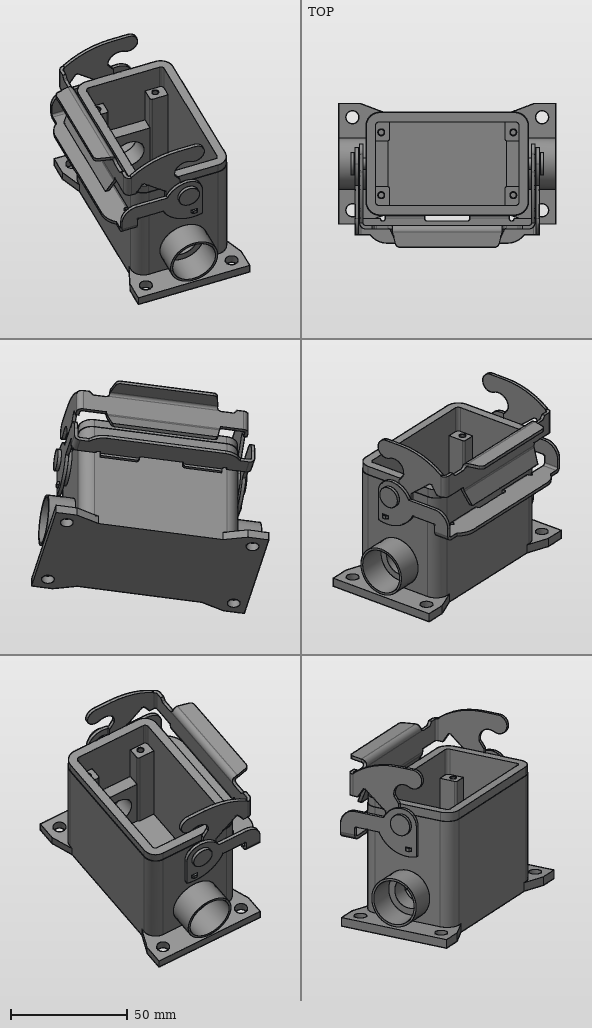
import cadquery as cq
import math


plate_length = 93.5
plate_width = 52.0
plate_thickness = 4.0
tab_end_x = 37.5
taper_end_x = 27.4
mount_hole_dia = 5.5
mount_pitch_x = 81.6
mount_pitch_y = 40.0

body_length = 70.0
body_width = 44.4
body_height = 57.0
body_corner = 6.0
rim_height = 4.0
rim_setback = 0.2
cavity_length = 61.6
cavity_width = 36.0
cavity_corner = 1.5
wall_middle_x = (body_length + cavity_length) / 4
post_size_x = 6.0
post_size_y = 8.2
post_top_z = 45.3
post_corner = 1.0
screw_pitch_x = 56.8
screw_pitch_y = 27.0
screw_hole_dia = 2.5
screw_hole_depth = 20.0
screw_chamfer = 0.25
ledge_size_x = 5.4
ledge_top_z = 28.0

entry_z = 16.0
entry_outer_dia = 22.0
entry_bore_dia = 20.0
entry_hole_dia = 14.0
entry_bore_depth = 13.0

sheet = 1.5
bend_outer = 2.5
bend_inner = bend_outer - sheet
pivot_z = 50.0
pin_dia = 5.0
pin_head_dia = 9.5
pin_head_face_x = 41.5
lever_half_width = 37.7
bracket_half_width = 39.6

lever_top_z = 75.0
nose_radius = 4.3
nose_y = 4.3
hook_z = 62.0
hook_tip_y = -5.2
hook_tip_z = 61.3
neck_y = -2.8
neck_z = 58.0
brow_start_y = -3.5
brow_end_z = 67.7
heel_y = -9.3
heel_top_z = 53.3
heel_center_z = 48.0
hub_radius = 4.0
gap_left_y = -19.3
gap_right_y = -20.4
gap_top_z = 61.5
gap_foot_y = -23.2
front_outer_y = -28.0
front_bottom_z = 57.25
front_top_z = 67.35
dip_depth = 1.75
dip_half_width = 31.0
dip_chamfer_run = 1.4
dip_corner = 1.0
grip_top_z = 68.7
grip_tip_y = -35.98
grip_root_half = 23.6
grip_tip_half = 21.9
grip_corner = 2.0
grip_bend_outer = 2.8
grip_bend_inner = grip_bend_outer - sheet
grip_flare = 1.9
flap_top_half = 25.1
flap_tip_half = 23.0
flap_bend_z = 55.2
flap_bottom_z = 47.9
flap_angle = 26.0
flap_corner = 1.5
flap_bend_radius = 1.8

disc_radius = 7.0
shoulder_y = -9.4
arm_top_z = 51.1
arm_width = 7.1
arm_inner_y = -23.5
arm_corner = 0.5
lobe_edge_z = 36.1
lobe_bottom_y = 2.4
lobe_bottom_z = 35.4
lobe_end_y = -11.5
flange_bottom_z = 37.7
flange_tip_y = -34.2
flange_step_x = 33.2
flange_round = 9.0
lip_outer_x = 26.7
lip_inner_x = 9.6
lip_face_y = -22.3
lip_bottom_z = 36.5
lip_chamfer = 0.8
slot_bottom_y = -24.6
slot_corner = 0.8
notch_width = 2.0
stud_y = 3.15
stud_z = 38.95
stud_base = 3.1
stud_tip = 1.7
stud_height = 0.9
stud_width = 1.5


def both_ends(shape):
    """Return the shape joined with its mirror image across the YZ plane."""
    return shape.union(shape.mirror("YZ"))


def box(x0, x1, y0, y1, z0, z1):
    """Return a box spanning the given limits."""
    return cq.Workplane("XY").box(x1 - x0, y1 - y0, z1 - z0, centered=False).translate((x0, y0, z0))


def cylinder_x(diameter, x0, x1, z):
    """Return a cylinder along X, centred on y = 0."""
    return cq.Workplane("YZ", origin=(x0, 0, z)).circle(diameter / 2).extrude(x1 - x0)


def rounded_block(length, width, z0, z1, corner):
    """Return an upright block with rounded vertical edges."""
    block = cq.Workplane("XY", origin=(0, 0, z0)).rect(length, width).extrude(z1 - z0)
    return block.edges("|Z").fillet(corner)


def tangent_arc_radius(run, rise):
    """Radius of an arc covering run and rise that starts parallel to the run."""
    return (run ** 2 + rise ** 2) / (2 * rise)


def bent_strap(plane, half_width, length):
    """A strap along the plane's first axis, with both ends bent through a right angle.

    The outer face lies on the plane's first axis and the strap is extruded by length.
    """
    flat = half_width - bend_outer
    inner_half = half_width - sheet
    outline = (
        cq.Workplane(plane)
        .moveTo(-half_width, bend_outer)
        .radiusArc((-flat, 0), -bend_outer)
        .lineTo(flat, 0)
        .radiusArc((half_width, bend_outer), -bend_outer)
        .lineTo(inner_half, bend_outer)
        .radiusArc((flat, sheet), bend_inner)
        .lineTo(-flat, sheet)
        .radiusArc((-inner_half, bend_outer), bend_inner)
        .close()
    )
    return outline.extrude(length)


def make_base_plate():
    half_x = plate_length / 2
    half_y = plate_width / 2
    ear = [
        (taper_end_x, -body_width / 2),
        (tab_end_x, -half_y),
        (half_x, -half_y),
        (half_x, half_y),
        (tab_end_x, half_y),
        (taper_end_x, body_width / 2),
    ]
    outline = ear + [(-x, -y) for x, y in ear]
    plate = cq.Workplane("XY").polyline(outline).close().extrude(plate_thickness)
    holes = cq.Workplane("XY").rarray(mount_pitch_x, mount_pitch_y, 2, 2).circle(mount_hole_dia / 2)
    return plate.cut(holes.extrude(plate_thickness))


def make_body():
    shoulder_z = body_height - rim_height
    lower = rounded_block(body_length, body_width, 0, shoulder_z, body_corner)
    rim_length = body_length - 2 * rim_setback
    rim_width = body_width - 2 * rim_setback
    rim = rounded_block(rim_length, rim_width, shoulder_z, body_height, body_corner - rim_setback)
    return lower.union(rim)


def make_cavity():
    """The inside space, leaving the ledges and the four screw posts standing."""
    cavity = rounded_block(cavity_length, cavity_width, plate_thickness, body_height, cavity_corner)
    half_x = cavity_length / 2
    half_y = cavity_width / 2
    ledge = box(half_x - ledge_size_x, half_x, -half_y, half_y, plate_thickness, ledge_top_z)
    cavity = cavity.cut(both_ends(ledge))
    post_y = half_y - post_size_y
    post = box(half_x - post_size_x, half_x, post_y, half_y, plate_thickness, post_top_z)
    post = post.edges("|Z and <X and <Y").fillet(post_corner)
    post_pair = post.union(post.mirror("XZ"))
    return cavity.cut(both_ends(post_pair))


def make_screw_holes():
    top = cq.Workplane("XY", origin=(0, 0, post_top_z)).rarray(screw_pitch_x, screw_pitch_y, 2, 2)
    holes = top.circle(screw_hole_dia / 2).extrude(-screw_hole_depth)
    countersink = top.circle(screw_hole_dia / 2 + screw_chamfer).extrude(-screw_chamfer, taper=45)
    return holes.union(countersink)


def make_housing():
    half_x = plate_length / 2
    tube = cylinder_x(entry_outer_dia, wall_middle_x, half_x, entry_z)
    bore = cylinder_x(entry_bore_dia, half_x - entry_bore_depth, half_x, entry_z)
    hole = cylinder_x(entry_hole_dia, 0, half_x, entry_z)
    housing = make_base_plate().union(make_body()).cut(make_cavity())
    housing = housing.union(both_ends(tube)).cut(both_ends(bore)).cut(both_ends(hole))
    return housing.cut(make_screw_holes())


def make_pin():
    shaft = cylinder_x(pin_dia, wall_middle_x, pin_head_face_x, pivot_z)
    head = cylinder_x(pin_head_dia, pin_head_face_x - sheet, pin_head_face_x, pivot_z)
    return both_ends(shaft.union(head))


def make_lever_side():
    """One flat lever cheek, with the hooked nose and the rounded heel."""
    nose_z = lever_top_z - nose_radius
    reach = math.hypot(nose_y, nose_z - hook_z)
    hook_radius = reach - nose_radius
    toward_hook = (-nose_y / reach, (hook_z - nose_z) / reach)
    touch = (nose_y + nose_radius * toward_hook[0], nose_z + nose_radius * toward_hook[1])
    diagonal = hook_radius * math.cos(math.radians(45))
    brow_end_y = front_outer_y + bend_outer
    brow_run = brow_start_y - brow_end_y
    brow_radius = tangent_arc_radius(brow_run, lever_top_z - brow_end_z)
    brow_mid_run = brow_run / 2
    brow_mid_z = lever_top_z - brow_radius + math.sqrt(brow_radius ** 2 - brow_mid_run ** 2)
    heel_radius = -heel_y
    heel_left_z = heel_center_z - math.sqrt(heel_radius ** 2 - hub_radius ** 2)
    profile = (
        cq.Workplane("YZ")
        .moveTo(nose_y, lever_top_z)
        .threePointArc((nose_y + nose_radius, nose_z), touch)
        .threePointArc((-diagonal, hook_z + diagonal), (hook_tip_y, hook_tip_z))
        .lineTo(neck_y, neck_z)
        .lineTo(neck_y, pivot_z + math.sqrt(hub_radius ** 2 - neck_y ** 2))
        .radiusArc((hub_radius, pivot_z), hub_radius)
        .lineTo(hub_radius, heel_left_z)
        .threePointArc((0, heel_center_z - heel_radius), (heel_y, heel_center_z))
        .lineTo(heel_y, heel_top_z)
        .lineTo(gap_left_y, gap_top_z)
        .lineTo(gap_right_y, gap_top_z)
        .lineTo(gap_foot_y, front_bottom_z)
        .lineTo(brow_end_y, front_bottom_z)
        .lineTo(brow_end_y, brow_end_z)
        .threePointArc((brow_start_y - brow_mid_run, brow_mid_z), (brow_start_y, lever_top_z))
        .close()
    )
    return profile.extrude(sheet).translate((lever_half_width - sheet, 0, 0))


def make_lever_front():
    """The front strap of the lever with its two rounded bends and its stepped top edge."""
    strap = bent_strap("XY", lever_half_width, front_top_z - front_bottom_z)
    strap = strap.translate((0, front_outer_y, front_bottom_z))
    dip_z = front_top_z - dip_depth
    dip = [
        (-dip_half_width - dip_chamfer_run, front_top_z),
        (-dip_half_width, dip_z),
        (dip_half_width, dip_z),
        (dip_half_width + dip_chamfer_run, front_top_z),
    ]
    dip_block = cq.Workplane("XZ").polyline(dip).close().extrude(plate_width)
    return strap.cut(dip_block.edges("|Y and <Z").fillet(dip_corner))


def make_grip():
    """The top flange bent outwards from the lever front, narrowing towards its tip."""
    dip_z = front_top_z - dip_depth
    inner_y = front_outer_y + sheet
    under_z = grip_top_z - sheet
    section = (
        cq.Workplane("YZ")
        .moveTo(inner_y, dip_z)
        .lineTo(inner_y, grip_top_z - grip_bend_outer)
        .radiusArc((inner_y - grip_bend_outer, grip_top_z), -grip_bend_outer)
        .lineTo(grip_tip_y, grip_top_z)
        .lineTo(grip_tip_y, under_z)
        .lineTo(front_outer_y - grip_bend_inner, under_z)
        .radiusArc((front_outer_y, under_z - grip_bend_inner), grip_bend_inner)
        .lineTo(front_outer_y, dip_z)
        .close()
        .extrude(lever_half_width, both=True)
    )
    plan = (
        cq.Workplane("XY")
        .moveTo(-grip_root_half - grip_flare, inner_y)
        .lineTo(-grip_root_half - grip_flare, front_outer_y)
        .lineTo(-grip_root_half, front_outer_y - grip_bend_inner)
        .lineTo(-grip_tip_half, grip_tip_y)
        .lineTo(grip_tip_half, grip_tip_y)
        .lineTo(grip_root_half, front_outer_y - grip_bend_inner)
        .lineTo(grip_root_half + grip_flare, front_outer_y)
        .lineTo(grip_root_half + grip_flare, inner_y)
        .close()
        .extrude(lever_top_z)
    )
    plan = plan.edges("|Z and <Y").fillet(grip_corner)
    elevation = (
        cq.Workplane("XZ")
        .moveTo(-grip_root_half - grip_flare, dip_z)
        .radiusArc((-grip_root_half, dip_z + grip_flare), -grip_flare)
        .lineTo(-grip_root_half, grip_top_z)
        .lineTo(grip_root_half, grip_top_z)
        .lineTo(grip_root_half, dip_z + grip_flare)
        .radiusArc((grip_root_half + grip_flare, dip_z), -grip_flare)
        .close()
        .extrude(plate_width)
    )
    return section.intersect(plan).intersect(elevation)


def make_flap():
    """The lower flap slanting outwards from the lever front, with rounded lower corners."""
    angle = math.radians(flap_angle)
    inner_y = front_outer_y + sheet
    drop = flap_bend_z - flap_bottom_z
    tip_y = inner_y - drop * math.tan(angle)
    slant = (-math.sin(angle), -math.cos(angle))
    back_radius = flap_bend_radius + sheet
    back_reach = back_radius * math.tan(angle / 2)
    front_reach = flap_bend_radius * math.tan(angle / 2)
    front_bend_z = flap_bend_z + sheet * math.tan(angle / 2)
    slab = (
        cq.Workplane("YZ")
        .moveTo(inner_y, front_bottom_z)
        .lineTo(inner_y, flap_bend_z + back_reach)
        .radiusArc((inner_y + back_reach * slant[0], flap_bend_z + back_reach * slant[1]), back_radius)
        .lineTo(tip_y, flap_bottom_z)
        .lineTo(tip_y - sheet * math.cos(angle), flap_bottom_z + sheet * math.sin(angle))
        .lineTo(front_outer_y + front_reach * slant[0], front_bend_z + front_reach * slant[1])
        .radiusArc((front_outer_y, front_bend_z + front_reach), -flap_bend_radius)
        .lineTo(front_outer_y, front_bottom_z)
        .close()
        .extrude(lever_half_width, both=True)
    )
    outline = [
        (-flap_top_half, front_bottom_z),
        (-flap_tip_half, flap_bottom_z),
        (flap_tip_half, flap_bottom_z),
        (flap_top_half, front_bottom_z),
    ]
    elevation = cq.Workplane("XZ").polyline(outline).close().extrude(plate_width)
    elevation = elevation.edges("|Y and <Z").fillet(flap_corner)
    return slab.intersect(elevation)


def make_lever():
    return both_ends(make_lever_side()).union(make_lever_front()).union(make_grip()).union(make_flap())


def make_bracket_side():
    """One flat bracket cheek: pivot disc, lower lobe and the arm that turns down to the flange."""
    arm_outer_y = arm_inner_y - arm_width
    arm_bottom_z = arm_top_z - arm_width
    bend_top_z = flange_bottom_z + bend_outer
    diagonal = math.cos(math.radians(45))
    disc_top_z = pivot_z + disc_radius
    shoulder_radius = tangent_arc_radius(-shoulder_y, disc_top_z - arm_top_z)
    shoulder_mid_y = shoulder_y / 2
    shoulder_mid_z = disc_top_z - shoulder_radius + math.sqrt(shoulder_radius ** 2 - shoulder_mid_y ** 2)
    profile = (
        cq.Workplane("YZ")
        .moveTo(disc_radius, pivot_z)
        .threePointArc((disc_radius * diagonal, pivot_z + disc_radius * diagonal), (0, disc_top_z))
        .threePointArc((shoulder_mid_y, shoulder_mid_z), (shoulder_y, arm_top_z))
        .lineTo(arm_inner_y, arm_top_z)
        .threePointArc(
            (arm_inner_y - arm_width * diagonal, arm_bottom_z + arm_width * diagonal),
            (arm_outer_y, arm_bottom_z),
        )
        .lineTo(arm_outer_y, bend_top_z)
        .lineTo(arm_inner_y, bend_top_z)
        .lineTo(arm_inner_y, arm_bottom_z - arm_corner)
        .radiusArc((arm_inner_y + arm_corner, arm_bottom_z), -arm_corner)
        .lineTo(lobe_end_y, arm_bottom_z)
        .threePointArc((lobe_bottom_y, lobe_bottom_z), (disc_radius, lobe_edge_z))
        .close()
    )
    return profile.extrude(sheet).translate((bracket_half_width - sheet, 0, 0))


def make_stud():
    """A small tapered stop standing out of the bracket cheek."""
    outline = [
        (bracket_half_width, stud_y - stud_base / 2),
        (bracket_half_width + stud_height, stud_y - stud_tip / 2),
        (bracket_half_width + stud_height, stud_y + stud_tip / 2),
        (bracket_half_width, stud_y + stud_base / 2),
    ]
    lower_z = stud_z - stud_width / 2
    return cq.Workplane("XY", origin=(0, 0, lower_z)).polyline(outline).close().extrude(stud_width)


def make_flange_bends():
    """The strip across the bracket with a rounded bend up into each cheek."""
    strap = bent_strap("XZ", bracket_half_width, arm_width)
    return strap.translate((0, arm_inner_y, flange_bottom_z))


def make_flange_front():
    """The outward part of the flange, with a sloped and rounded shoulder at each end."""
    start_y = arm_inner_y - arm_width
    diagonal = math.cos(math.radians(45))
    slope = start_y - flange_tip_y - flange_round * (1 - diagonal)
    arc_start = (flange_step_x - slope, start_y - slope)
    arc_end_x = arc_start[0] - flange_round * diagonal
    plan = (
        cq.Workplane("XY", origin=(0, 0, flange_bottom_z))
        .moveTo(-flange_step_x, start_y)
        .lineTo(-arc_start[0], arc_start[1])
        .radiusArc((-arc_end_x, flange_tip_y), -flange_round)
        .lineTo(arc_end_x, flange_tip_y)
        .radiusArc(arc_start, -flange_round)
        .lineTo(flange_step_x, start_y)
        .close()
    )
    return plan.extrude(sheet)


def make_flange_cuts():
    """The wide middle slot and the round-bottomed relief notch beside each lip."""
    top_z = flange_bottom_z + sheet
    slot = box(-lip_inner_x, lip_inner_x, slot_bottom_y, arm_inner_y, flange_bottom_z, top_z)
    slot = slot.edges("|Z and <Y").fillet(slot_corner)
    notch_radius = notch_width / 2
    notch_start_y = slot_bottom_y + notch_radius
    notch = (
        cq.Workplane("XY", origin=(0, 0, flange_bottom_z))
        .moveTo(lip_outer_x, arm_inner_y)
        .lineTo(lip_outer_x, notch_start_y)
        .radiusArc((lip_outer_x + notch_radius, slot_bottom_y), -notch_radius)
        .radiusArc((lip_outer_x + notch_width, notch_start_y), -notch_radius)
        .lineTo(lip_outer_x + notch_width, arm_inner_y)
        .close()
        .extrude(sheet)
    )
    return slot.union(both_ends(notch))


def make_lips():
    """Two lips bent down from the flange along the body wall."""
    top_z = flange_bottom_z + sheet
    lip = box(lip_inner_x, lip_outer_x, arm_inner_y, lip_face_y, lip_bottom_z, top_z)
    lip = lip.edges("|X and >Y and >Z").fillet(bend_inner)
    lip = lip.edges("|Y and <X and <Z").chamfer(lip_chamfer)
    return both_ends(lip)


def make_bracket():
    flange = make_flange_bends().union(make_flange_front()).cut(make_flange_cuts()).union(make_lips())
    return flange.union(both_ends(make_bracket_side().union(make_stud())))


result = make_housing().union(make_pin()).union(make_bracket()).union(make_lever())